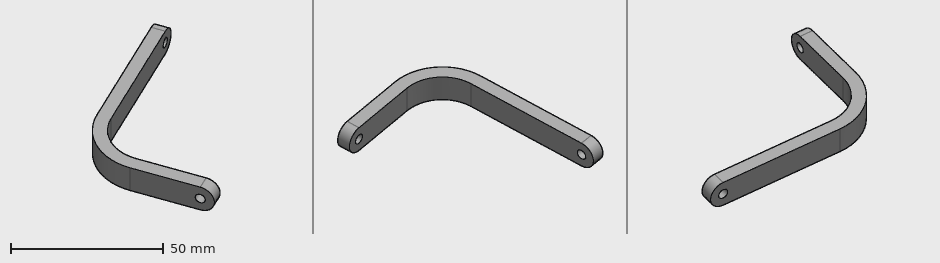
import cadquery as cq

x_leg_length = 50.0
y_leg_length = 71.6
strap_width = 10.0
thickness = 5.0
outer_bend_radius = 20.0
hole_diameter = 3.6

inner_bend_radius = outer_bend_radius - thickness
end_radius = strap_width / 2
mid_height = strap_width / 2


def bend_solid(offset, radius):
    """Block with its near corner at (offset, offset), rounded to the given radius."""
    return (
        cq.Workplane("XY")
        .moveTo(offset, y_leg_length)
        .lineTo(offset, offset + radius)
        .radiusArc((offset + radius, offset), -radius)
        .lineTo(x_leg_length, offset)
        .lineTo(x_leg_length, y_leg_length)
        .close()
        .extrude(strap_width)
    )


def leg_profile(plane, leg_length, depth):
    """Side profile of a leg with a full-round end, extruded to the given depth."""
    straight_end = leg_length - end_radius
    return (
        cq.Workplane(plane)
        .lineTo(straight_end, 0)
        .threePointArc((leg_length, mid_height), (straight_end, strap_width))
        .lineTo(0, strap_width)
        .close()
        .extrude(depth)
    )


def end_hole(plane, leg_length, depth):
    """Cylinder concentric with the round end of a leg."""
    return (
        cq.Workplane(plane)
        .center(leg_length - end_radius, mid_height)
        .circle(hole_diameter / 2)
        .extrude(depth)
    )


strap = bend_solid(0, outer_bend_radius).cut(bend_solid(thickness, inner_bend_radius))

strap = strap.intersect(leg_profile("XZ", x_leg_length, -y_leg_length))
strap = strap.intersect(leg_profile("YZ", y_leg_length, x_leg_length))

strap = strap.cut(end_hole("XZ", x_leg_length, -thickness))
result = strap.cut(end_hole("YZ", y_leg_length, thickness))